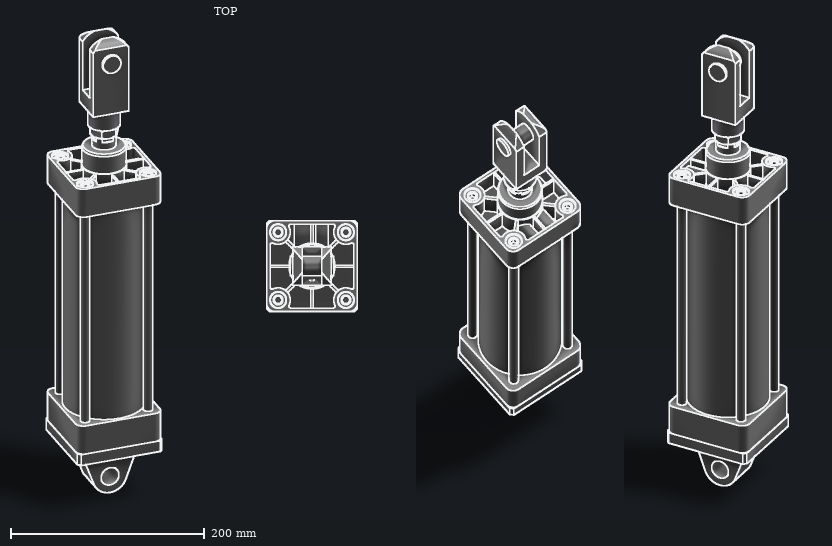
import cadquery as cq
import math


total_height = 523.0
head_side = 94.0
head_height = 32.5
head_corner_radius = 9.0

plate_bottom = 53.5
rear_head_bottom = 66.0
front_head_top = 372.5
nose_top = 395.0
nut_bottom = 408.0
neck_bottom = 419.0
fork_bottom = 439.5
slot_floor = 457.0
front_head_bottom = front_head_top - head_height
rear_head_top = rear_head_bottom + head_height

plate_corner_chamfer = 3.0
eye_thickness = 34.0
eye_tip_radius = 19.0
eye_root_half_width = 33.0
eye_hole_diameter = 20.0

tube_diameter = 87.0
tie_rod_diameter = 10.0
tie_rod_offset = 35.0
tie_rod_places = [(sx * tie_rod_offset, sy * tie_rod_offset) for sx in (-1, 1) for sy in (-1, 1)]

rim_width = 3.5
hollow_side = head_side - 2 * rim_width
hollow_depth = 26.0
hollow_floor = front_head_top - hollow_depth
hollow_fillet = 2.0
corner_boss_diameter = 25.0
hub_diameter = 47.5
rib_drop = 2.0
rib_top = front_head_top - rib_drop
rib_thickness = 2.0
diagonal_rib_thickness = 3.0

nut_pocket_diameter = 17.0
nut_pocket_depth = 15.5
tie_nut_diameter = 16.0
tie_nut_drop = 1.5
socket_mouth_diameter = 10.0
socket_mouth_depth = 1.5
socket_across_flats = 7.5
socket_depth = 8.0

port_boss_diameter = 19.0
port_boss_x = -9.0
cushion_boss_diameter = 13.0
cushion_boss_x = 10.5

nose_diameter = 46.0
nose_top_diameter = 44.0
nose_chamfer_height = 2.5

rod_diameter = 25.0
rod_across_flats = 22.0
flats_bottom = 403.0
nut_across_flats = 27.0
nut_chamfer = 2.0

fork_side = 40.0
fork_slot_width = 20.0
neck_diameter = 34.0
crown_side_radius = 26.0
crown_face_radius = 23.5
crown_flat_width = 12.5
pin_diameter = 20.0
pin_length = 45.5
pin_height = 498.0


def cylinder_z(diameter, bottom, top):
    """Upright cylinder on the main axis."""
    return cq.Workplane("XY").workplane(offset=bottom).circle(diameter / 2).extrude(top - bottom)


def square_block(side, bottom, top):
    """Upright square block centred on the main axis."""
    return cq.Workplane("XY").workplane(offset=bottom).rect(side, side).extrude(top - bottom)


def cylinders_at_tie_rods(diameter, bottom, top):
    """Four upright cylinders, one on each tie rod axis."""
    plane = cq.Workplane("XY").workplane(offset=bottom)
    return plane.pushPoints(tie_rod_places).circle(diameter / 2).extrude(top - bottom)


def make_rear_mount():
    plate = square_block(head_side, plate_bottom, rear_head_bottom)
    plate = plate.edges("|Z").chamfer(plate_corner_chamfer)

    root_rise = plate_bottom - eye_tip_radius
    root_distance = math.hypot(eye_root_half_width, root_rise)
    root_angle = math.atan2(root_rise, eye_root_half_width)
    tangent_angle = root_angle - math.acos(eye_tip_radius / root_distance)
    tangent_y = eye_tip_radius * math.cos(tangent_angle)
    tangent_z = eye_tip_radius * (1 + math.sin(tangent_angle))
    eye = (
        cq.Workplane("YZ")
        .moveTo(-eye_root_half_width, plate_bottom)
        .lineTo(-tangent_y, tangent_z)
        .threePointArc((0, 0), (tangent_y, tangent_z))
        .lineTo(eye_root_half_width, plate_bottom)
        .close()
        .extrude(eye_thickness / 2, both=True)
    )
    hole = cq.Workplane("YZ").center(0, eye_tip_radius).circle(eye_hole_diameter / 2)
    return plate.union(eye).cut(hole.extrude(eye_thickness, both=True))


def make_head(bottom):
    return square_block(head_side, bottom, bottom + head_height).edges("|Z").fillet(head_corner_radius)


def make_hollow():
    """Space inside the rim of the front head, leaving the four corner bosses."""
    hollow = square_block(hollow_side, hollow_floor, front_head_top)
    hollow = hollow.cut(cylinders_at_tie_rods(corner_boss_diameter, hollow_floor, front_head_top))
    hollow = hollow.solids(cq.selectors.NearestToPointSelector((0, 0, hollow_floor)))
    return hollow.edges("|Z").fillet(hollow_fillet)


def make_ribs():
    """Ribs crossing the hollow along X, Y and both diagonals."""
    rib_height = rib_top - hollow_floor
    ribs = cylinder_z(hub_diameter, hollow_floor, front_head_top)
    diagonal_length = 2 * math.sqrt(2) * tie_rod_offset - corner_boss_diameter
    for angle in range(0, 180, 45):
        is_diagonal = angle % 90 != 0
        length = diagonal_length if is_diagonal else hollow_side
        thickness = diagonal_rib_thickness if is_diagonal else rib_thickness
        rib = cq.Workplane("XY").workplane(offset=hollow_floor).transformed(rotate=(0, 0, angle))
        ribs = ribs.union(rib.rect(length, thickness).extrude(rib_height))
    return ribs


def make_side_boss(diameter, x):
    """Boss lying along Y at mid height of the front head, standing on the floor of the hollow."""
    axis_height = front_head_bottom + head_height / 2
    plane = cq.Workplane("XZ").center(x, axis_height)
    barrel = plane.circle(diameter / 2).extrude(-hollow_side / 2)
    foot_height = axis_height - hollow_floor
    foot = plane.center(0, -foot_height / 2).rect(diameter, foot_height).extrude(-hollow_side / 2)
    return barrel.union(foot)


def make_tie_nuts(bottom):
    """Four round nuts with hexagon sockets, recessed below the rim."""
    top = front_head_top - tie_nut_drop
    nuts = cylinders_at_tie_rods(tie_nut_diameter, bottom, top)
    nuts = nuts.cut(cylinders_at_tie_rods(socket_mouth_diameter, top - socket_mouth_depth, top))
    socket_across_corners = socket_across_flats / math.cos(math.pi / 6)
    sockets = cq.Workplane("XY").workplane(offset=top - socket_depth).pushPoints(tie_rod_places)
    return nuts.cut(sockets.polygon(6, socket_across_corners).extrude(socket_depth))


def make_cylinder():
    body = make_head(rear_head_bottom).union(make_head(front_head_bottom))
    body = body.union(cylinder_z(tube_diameter, rear_head_top, front_head_bottom))
    body = body.union(cylinders_at_tie_rods(tie_rod_diameter, rear_head_top, front_head_bottom))

    body = body.cut(make_hollow())
    body = body.union(make_ribs())
    body = body.union(make_side_boss(port_boss_diameter, port_boss_x))
    body = body.union(make_side_boss(cushion_boss_diameter, cushion_boss_x))

    pocket_floor = front_head_top - nut_pocket_depth
    body = body.cut(cylinders_at_tie_rods(nut_pocket_diameter, pocket_floor, front_head_top))
    body = body.union(make_tie_nuts(pocket_floor))

    nose_chamfer_width = (nose_diameter - nose_top_diameter) / 2
    nose = cylinder_z(nose_diameter, front_head_top, nose_top)
    nose = nose.faces(">Z").chamfer(nose_chamfer_height, nose_chamfer_width)
    body = body.union(nose)
    return body.cut(cylinder_z(rod_diameter, front_head_bottom, nose_top))


def make_rod():
    rod = cylinder_z(rod_diameter, front_head_bottom, neck_bottom)
    round_part = cylinder_z(rod_diameter, front_head_bottom, flats_bottom)
    flat_part = rod.intersect(square_block(rod_across_flats, flats_bottom, neck_bottom))

    nut_height = neck_bottom - nut_bottom
    across_corners = nut_across_flats / math.cos(math.pi / 6)
    nut = (
        cq.Workplane("XY")
        .workplane(offset=nut_bottom)
        .transformed(rotate=(0, 0, 90))
        .polygon(6, across_corners)
        .extrude(nut_height)
    )
    turned_nut = cylinder_z(across_corners, nut_bottom, neck_bottom)
    turned_nut = turned_nut.faces("<Z or >Z").edges().chamfer(nut_chamfer)
    return round_part.union(flat_part).union(nut.intersect(turned_nut))


def make_crowned_block(plane, radius, flat_width):
    """Block of the fork's width, its top rounded by an arc that reaches full height at the flat width."""
    half = fork_side / 2
    arc_center = total_height - math.sqrt(radius**2 - (flat_width / 2) ** 2)
    shoulder = arc_center + math.sqrt(radius**2 - half**2)
    return (
        cq.Workplane(plane)
        .moveTo(-half, fork_bottom)
        .lineTo(-half, shoulder)
        .threePointArc((0, arc_center + radius), (half, shoulder))
        .lineTo(half, fork_bottom)
        .close()
        .extrude(half, both=True)
    )


def make_fork():
    fork = make_crowned_block("XZ", crown_side_radius, fork_slot_width)
    fork = fork.intersect(make_crowned_block("YZ", crown_face_radius, crown_flat_width))
    slot = cq.Workplane("XY").workplane(offset=slot_floor).rect(fork_slot_width, fork_side)
    fork = fork.cut(slot.extrude(total_height))
    fork = fork.union(cylinder_z(neck_diameter, neck_bottom, fork_bottom))
    pin = cq.Workplane("YZ").center(0, pin_height).circle(pin_diameter / 2)
    return fork.union(pin.extrude(pin_length / 2, both=True))


rear_mount = make_rear_mount()
cylinder = make_cylinder()
rod = make_rod()
fork = make_fork()

result = cq.Compound.makeCompound([rear_mount.val(), cylinder.val(), rod.val(), fork.val()])